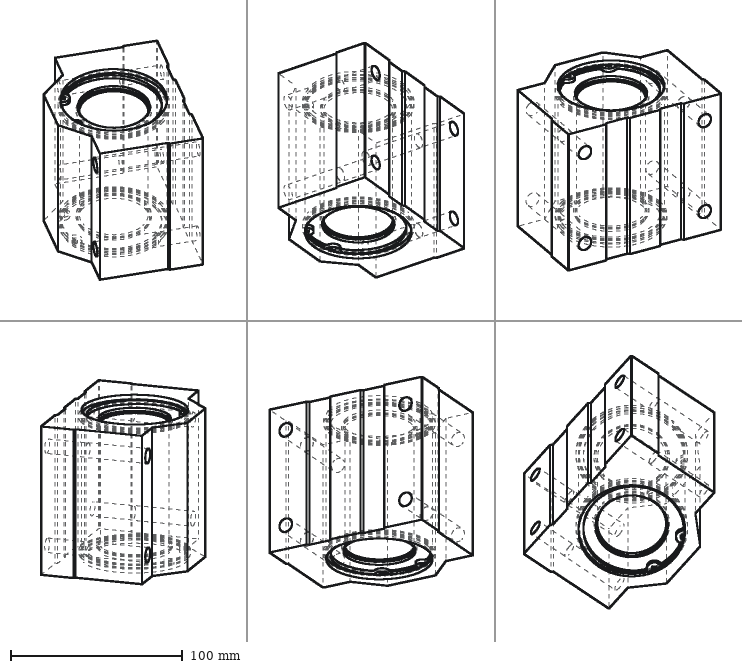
import cadquery as cq
import math

housing_length = 90.0
mount_width = 102.0
body_width = 100.0
mount_y = 40.0
mount_step_y = 20.0
shoulder_y = -22.0
nose_y = -38.0
nose_half_width = 16.0
mount_corner_chamfer = 0.4

groove_center_x = 18.0
groove_width = 16.0
groove_depth = 1.2

hole_pitch_x = 80.0
hole_pitch_z = 60.0
drill_diameter = 8.7
thread_core_diameter = 8.38
thread_depth = 25.0

bearing_diameter = 62.0
bearing_length = 80.0
bearing_chamfer = 0.5
bearing_bore = 40.0
bearing_mouth_diameter = 42.0
bearing_lip_thickness = 2.0
bearing_undercut_diameter = 44.0
bearing_undercut_width = 1.0

ring_outer_diameter = 65.0
ring_inner_diameter = 58.4
ring_thickness = 2.2
ring_inner_offset = 1.3
lug_hole_x = 13.7
lug_hole_y = -27.3
lug_hole_diameter = 3.0
lug_radius = 4.35
lug_fillet = 2.0


def make_outline():
    """Housing outline: the right half, mirrored across the YZ plane."""
    half_mount = mount_width / 2
    half_body = body_width / 2
    step = half_mount - half_body
    groove_outer = groove_center_x + groove_width / 2
    groove_inner = groove_center_x - groove_width / 2
    nose_rise = shoulder_y - nose_y
    bottom_z = -housing_length / 2
    return (
        cq.Workplane("XY", origin=(0, 0, bottom_z))
        .moveTo(0, mount_y)
        .lineTo(groove_inner, mount_y)
        .lineTo(groove_inner + groove_depth, mount_y - groove_depth)
        .lineTo(groove_outer - groove_depth, mount_y - groove_depth)
        .lineTo(groove_outer, mount_y)
        .lineTo(half_mount - mount_corner_chamfer, mount_y)
        .lineTo(half_mount, mount_y - mount_corner_chamfer)
        .lineTo(half_mount, mount_step_y)
        .lineTo(half_body, mount_step_y - step)
        .lineTo(half_body, shoulder_y)
        .lineTo(nose_half_width + nose_rise, shoulder_y)
        .lineTo(nose_half_width, nose_y)
        .lineTo(0, nose_y)
        .mirrorY()
    )


def disc(diameter, bottom_z, height):
    """Cylinder on the bore axis."""
    return cq.Workplane("XY", origin=(0, 0, bottom_z)).circle(diameter / 2).extrude(height)


def mounting_holes(diameter, start_y, end_y):
    """Four cylinders along Y at the mounting hole positions."""
    return (
        cq.Workplane("XZ", origin=(0, end_y, 0))
        .rarray(hole_pitch_x, hole_pitch_z, 2, 2)
        .circle(diameter / 2)
        .extrude(end_y - start_y)
    )


def make_housing(ring_bottoms):
    """Block with the bearing bore, the ring grooves and the stepped mounting holes."""
    housing = make_outline().extrude(housing_length)
    housing = housing.cut(disc(bearing_diameter, -housing_length / 2, housing_length))
    for bottom_z in ring_bottoms:
        housing = housing.cut(disc(ring_outer_diameter, bottom_z, ring_thickness))
    thread_end_y = mount_y - thread_depth
    housing = housing.cut(mounting_holes(drill_diameter, shoulder_y, thread_end_y))
    return housing.cut(mounting_holes(thread_core_diameter, thread_end_y, mount_y))


def make_bearing():
    """Sleeve with chamfered outer rims and an undercut behind each end lip."""
    bearing = disc(bearing_diameter, -bearing_length / 2, bearing_length)
    bearing = bearing.faces("<Z or >Z").chamfer(bearing_chamfer)
    bearing = bearing.cut(disc(bearing_bore, -bearing_length / 2, bearing_length))
    lip_inner_z = bearing_length / 2 - bearing_lip_thickness
    floor_z = lip_inner_z - bearing_undercut_width
    for lip_bottom_z in (lip_inner_z, -bearing_length / 2):
        bearing = bearing.cut(disc(bearing_mouth_diameter, lip_bottom_z, bearing_lip_thickness))
    for undercut_bottom_z in (floor_z, -lip_inner_z):
        bearing = bearing.cut(disc(bearing_undercut_diameter, undercut_bottom_z, bearing_undercut_width))
    return bearing


def lug_root():
    """Point where the ring opening meets the outer flank of the right-hand lug."""
    opening_radius = ring_inner_diameter / 2
    rise = lug_hole_y + ring_inner_offset
    center_distance = math.hypot(lug_hole_x, rise)
    along = (center_distance**2 + opening_radius**2 - lug_radius**2) / (2 * center_distance)
    across = math.sqrt(opening_radius**2 - along**2)
    direction_x = lug_hole_x / center_distance
    direction_y = rise / center_distance
    root_x = along * direction_x - across * direction_y
    root_y = along * direction_y + across * direction_x - ring_inner_offset
    return root_x, root_y


def make_ring(bottom_z):
    """Internal retaining ring, open between two lugs with plier holes."""
    plane = cq.Workplane("XY", origin=(0, 0, bottom_z))
    blank = disc(ring_outer_diameter, bottom_z, ring_thickness)
    opening = plane.center(0, -ring_inner_offset).circle(ring_inner_diameter / 2).extrude(ring_thickness)
    gap_length = ring_outer_diameter / 2
    gap_width = 2 * (lug_hole_x - lug_radius)
    lug_width = 2 * lug_radius
    gap = plane.center(0, lug_hole_y - gap_length / 2).rect(gap_width, gap_length).extrude(ring_thickness)
    ring = blank.cut(opening)
    for side in (-1, 1):
        lug = plane.center(side * lug_hole_x, lug_hole_y).circle(lug_radius).extrude(ring_thickness)
        foot = (
            plane.center(side * lug_hole_x, lug_hole_y - lug_radius)
            .rect(lug_width, lug_width)
            .extrude(ring_thickness)
        )
        ring = ring.union(lug.union(foot).intersect(blank))
    ring = ring.cut(gap)
    root_x, root_y = lug_root()
    for side in (-1, 1):
        root = (side * root_x, root_y, bottom_z + ring_thickness / 2)
        ring = ring.edges(cq.selectors.NearestToPointSelector(root)).fillet(lug_fillet)
    lug_centers = [(-lug_hole_x, lug_hole_y), (lug_hole_x, lug_hole_y)]
    plier_holes = plane.pushPoints(lug_centers).circle(lug_hole_diameter / 2).extrude(ring_thickness)
    return ring.cut(plier_holes)


ring_bottom_zs = [bearing_length / 2, -bearing_length / 2 - ring_thickness]
housing = make_housing(ring_bottom_zs)
bearing = make_bearing()
rings = [make_ring(bottom_z) for bottom_z in ring_bottom_zs]

result = cq.Compound.makeCompound(
    [housing.val(), bearing.val(), *[ring.val() for ring in rings]]
)